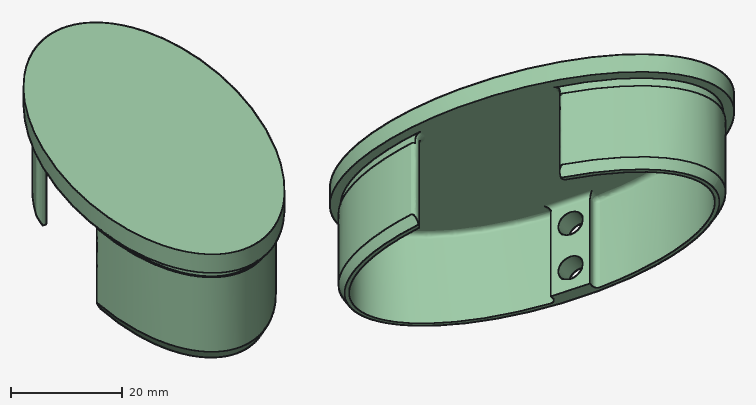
import cadquery as cq
import math

PLATE_HALF_LENGTH = 40.0
PLATE_HALF_WIDTH = 20.0
PLATE_THICKNESS = 4.0
TOTAL_HEIGHT = 24.0
SKIRT_HEIGHT = TOTAL_HEIGHT - PLATE_THICKNESS

SKIRT_INSET = 1.6
WALL_THICKNESS = 2.0
OPENING_WIDTH = 29.2
WALL_END_FILLET = 0.8
ROOT_FILLET = 1.0

NECK_INSET = 2.0
NECK_HEIGHT = 2.0
TAPER_HEIGHT = 2.0
TAPER_DEPTH = 1.15

RIB_WIDTH = 8.0
RIB_DEPTH = 2.0
RIB_BASE_FILLET = 1.0
HOLE_DIAMETER = 5.0
HOLE_HEIGHTS = (5.0, 15.0)


def ellipse_at(inset, z):
    """Workplane at height z holding the plate outline shrunk by inset."""
    plane = cq.Workplane("XY", origin=(0, 0, z))
    return plane.ellipse(PLATE_HALF_LENGTH - inset, PLATE_HALF_WIDTH - inset)


def elliptical_disc(inset, z_bottom, z_top):
    return ellipse_at(inset, z_bottom).extrude(z_top - z_bottom)


def ellipse_y(inset, x):
    """Positive y of the plate outline shrunk by inset, at the given x."""
    half_length = PLATE_HALF_LENGTH - inset
    half_width = PLATE_HALF_WIDTH - inset
    return half_width * math.sqrt(1 - (x / half_length) ** 2)


def edges_near(x, y):
    """Selector for the pair of full-height edges at (x, y) and (-x, y)."""
    reach = 0.1
    right = cq.selectors.BoxSelector((x - reach, y - reach, 0), (x + reach, y + reach, SKIRT_HEIGHT))
    left = cq.selectors.BoxSelector((-x - reach, y - reach, 0), (-x + reach, y + reach, SKIRT_HEIGHT))
    return right + left


def make_rib():
    """Block from the rib's flat face out to the middle of the +Y wall."""
    wall_inner_y = PLATE_HALF_WIDTH - SKIRT_INSET - WALL_THICKNESS
    rib_length_y = RIB_DEPTH + WALL_THICKNESS / 2
    return (
        cq.Workplane("XY", origin=(0, wall_inner_y - RIB_DEPTH + rib_length_y / 2, 0))
        .rect(RIB_WIDTH, rib_length_y)
        .extrude(SKIRT_HEIGHT)
    )


def make_skirt_wall():
    """Open elliptical wall with its rib and rounded vertical edges."""
    cavity = elliptical_disc(SKIRT_INSET + WALL_THICKNESS, 0, SKIRT_HEIGHT)
    opening = (
        cq.Workplane("XY", origin=(0, -PLATE_HALF_WIDTH / 2, 0))
        .rect(OPENING_WIDTH, PLATE_HALF_WIDTH)
        .extrude(SKIRT_HEIGHT)
    )
    wall = elliptical_disc(SKIRT_INSET, 0, SKIRT_HEIGHT).cut(cavity).cut(opening)
    wall = wall.union(make_rib())

    cavity_inset = SKIRT_INSET + WALL_THICKNESS
    half_opening = OPENING_WIDTH / 2
    outer_end_edges = edges_near(half_opening, -ellipse_y(SKIRT_INSET, half_opening))
    inner_end_edges = edges_near(half_opening, -ellipse_y(cavity_inset, half_opening))
    wall = wall.edges(outer_end_edges + inner_end_edges).fillet(WALL_END_FILLET)

    half_rib = RIB_WIDTH / 2
    rib_base_edges = edges_near(half_rib, ellipse_y(cavity_inset, half_rib))
    return wall.edges(rib_base_edges).fillet(RIB_BASE_FILLET)


def make_envelope():
    """Outer limit of the part: tapered rim, skirt, neck and plate."""
    skirt_top = SKIRT_HEIGHT - NECK_HEIGHT
    rim = (
        ellipse_at(SKIRT_INSET + TAPER_DEPTH, 0)
        .workplane(offset=TAPER_HEIGHT)
        .ellipse(PLATE_HALF_LENGTH - SKIRT_INSET, PLATE_HALF_WIDTH - SKIRT_INSET)
        .loft(ruled=True)
    )
    skirt = elliptical_disc(SKIRT_INSET, TAPER_HEIGHT, skirt_top)
    neck = elliptical_disc(NECK_INSET, skirt_top, SKIRT_HEIGHT)
    plate = elliptical_disc(0, SKIRT_HEIGHT, TOTAL_HEIGHT)
    return rim.union(skirt).union(neck).union(plate)


def make_cross_holes():
    """Cutters running along Y through the rib and the +Y wall."""
    return (
        cq.Workplane("XZ")
        .pushPoints([(0, z) for z in HOLE_HEIGHTS])
        .circle(HOLE_DIAMETER / 2)
        .extrude(-PLATE_HALF_WIDTH)
    )


def fillet_wall_root(body):
    """Round the junction of the wall and the underside of the plate."""
    margin = 0.5
    root_edges = cq.selectors.BoxSelector(
        (-PLATE_HALF_LENGTH + margin, -PLATE_HALF_WIDTH + margin, SKIRT_HEIGHT - margin),
        (PLATE_HALF_LENGTH - margin, PLATE_HALF_WIDTH - margin, SKIRT_HEIGHT + margin),
        boundingbox=True,
    )
    return body.edges(root_edges).fillet(ROOT_FILLET)


plate_blank = elliptical_disc(0, SKIRT_HEIGHT, TOTAL_HEIGHT)
body = fillet_wall_root(plate_blank.union(make_skirt_wall()))
result = body.intersect(make_envelope()).cut(make_cross_holes())